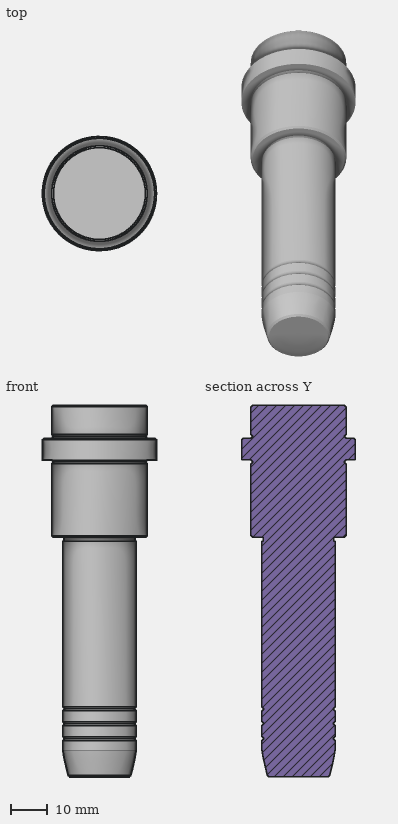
import cadquery as cq

length = 101.0
collar_diameter = 31.0
body_diameter = 26.0
shaft_diameter = 20.0
tip_diameter = 17.1

collar_top = length - 9.0
collar_bottom = length - 14.9
body_bottom = length - 36.0
nose_height = 7.3

edge_chamfer = 0.5
relief_width = 1.0
neck_depth = 0.3

groove_count = 3
groove_pitch = 4.0
lowest_groove_bottom = 9.9
groove_width = 1.1

nose_middle_inset = 0.6


def cylinder(diameter, bottom, top):
    return cq.Workplane("XY").workplane(offset=bottom).circle(diameter / 2).extrude(top - bottom)


def revolved(profile):
    """Turn an XZ profile about the Z axis."""
    return profile.close().revolve(360, (0, 0), (0, 1))


def v_groove(diameter, bottom, width):
    """Ring of symmetric 90 degree V section to cut from a cylinder of the given diameter."""
    radius = diameter / 2
    half_width = width / 2
    profile = (
        cq.Workplane("XZ")
        .moveTo(radius - half_width, bottom + half_width)
        .lineTo(radius + half_width, bottom - half_width)
        .lineTo(radius + half_width, bottom + width + half_width)
    )
    return revolved(profile)


def make_nose():
    """Convex taper from the shaft to the chamfered tip."""
    shaft_radius = shaft_diameter / 2
    tip_radius = tip_diameter / 2
    arc_middle = (shaft_radius - nose_middle_inset, (nose_height + edge_chamfer) / 2)
    profile = (
        cq.Workplane("XZ")
        .lineTo(tip_radius - edge_chamfer, 0)
        .lineTo(tip_radius, edge_chamfer)
        .threePointArc(arc_middle, (shaft_radius, nose_height))
        .lineTo(0, nose_height)
    )
    return revolved(profile)


body = cylinder(body_diameter, body_bottom, length).faces("<Z or >Z").chamfer(edge_chamfer)
for relief_bottom in (collar_top, collar_bottom - relief_width):
    body = body.cut(v_groove(body_diameter, relief_bottom, relief_width))

collar = cylinder(collar_diameter, collar_bottom, collar_top).faces(">Z").chamfer(edge_chamfer)

neck_bottom = body_bottom - relief_width
neck = cylinder(shaft_diameter - 2 * neck_depth, neck_bottom, body_bottom)
shaft = cylinder(shaft_diameter, nose_height, neck_bottom)
for index in range(groove_count):
    groove_bottom = lowest_groove_bottom + index * groove_pitch
    shaft = shaft.cut(v_groove(shaft_diameter, groove_bottom, groove_width))

result = body.union(collar).union(neck).union(shaft).union(make_nose())